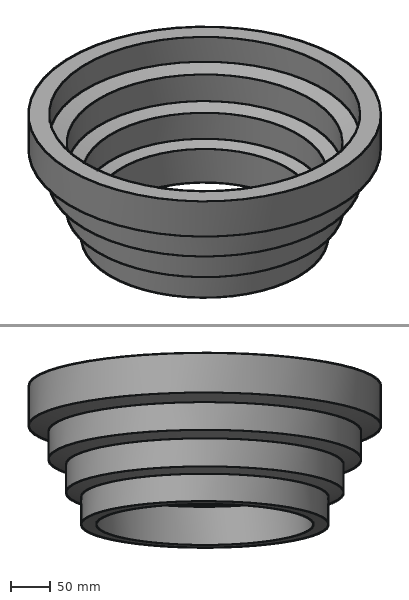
import cadquery as cq

height = 180.0

outer_radii = [225.0, 200.0, 177.5, 158.0]
bore_radii = [198.5, 176.0, 156.0, 138.5]

outer_shoulders = [(51.8, 59.5), (95.5, 102.0), (138.5, 144.5)]
bore_shoulders = [(36.5, 42.5), (81.5, 87.5), (125.5, 130.5)]


def stepped_profile(radii, shoulders):
    """Points (radius, z) running from the top face down to the bottom face."""
    points = [(radii[0], height)]
    for upper_radius, lower_radius, (start, end) in zip(radii, radii[1:], shoulders):
        points.append((upper_radius, height - start))
        points.append((lower_radius, height - end))
    points.append((radii[-1], 0))
    return points


outer_profile = stepped_profile(outer_radii, outer_shoulders)
bore_profile = stepped_profile(bore_radii, bore_shoulders)

wall_section = cq.Workplane("XZ").polyline(outer_profile + bore_profile[::-1]).close()
result = wall_section.revolve(360, (0, 0, 0), (0, 1, 0))